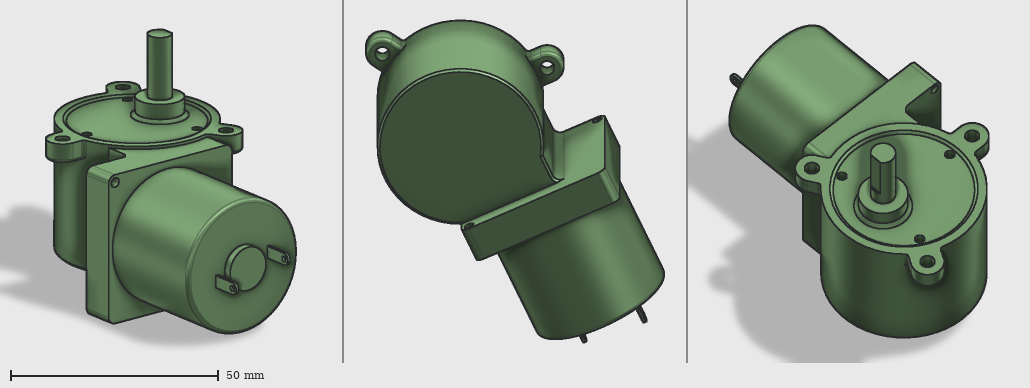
import cadquery as cq
import math

housing_radius = 20.0
housing_height = 33.4
housing_edge_chamfer = 0.6
recess_floor_radius = 17.05
recess_depth = 0.5
recess_rim_width = 0.8

lug_angles = (30, 150, 270)
lug_pitch_radius = 23.0
lug_radius = 4.0
lug_hole_diameter = 3.5
lug_thickness = 5.0
lug_edge_fillet = 1.0
lug_root_fillet = 1.0
screw_pitch_radius = 15.5
screw_hole_diameter = 2.4
screw_hole_depth = 3.5

shaft_y = 7.0
shaft_diameter = 6.0
shaft_top = 20.2
flat_distance = 2.5
flat_bottom = 8.0
boss_diameter = 12.0
boss_top = 4.2
boss_foot_flare = 1.05
boss_foot_height = 0.9

plate_front = 18.0
plate_back = 26.6
plate_size = 38.0
plate_right = 8.0
plate_top = -0.8
plate_corner_radius = 2.0
plate_hole_diameter = 2.4
plate_y = plate_right - plate_size / 2
plate_z = plate_top - plate_size / 2
bridge_side = -17.05
bridge_fillet = 2.0

motor_y = -11.8
motor_z = plate_z
motor_diameter = 34.0
motor_back = 55.5
motor_edge_fillet = 1.0
bearing_diameter = 11.0
bearing_length = 2.1
terminal_tip = 63.5
terminal_width = 3.1
terminal_thickness = 0.8
terminal_hole_diameter = 1.4
terminal_offset_y = 7.95
terminal_offset_z = 2.0
overlap = 0.9


def cylinder_z(diameter, bottom, top, x=0, y=0):
    return cq.Workplane("XY", origin=(x, y, bottom)).circle(diameter / 2).extrude(top - bottom)


def cylinder_x(diameter, start, end, y, z):
    return cq.Workplane("YZ", origin=(start, y, z)).circle(diameter / 2).extrude(end - start)


def polar(radius, angle):
    turn = math.radians(angle)
    return radius * math.cos(turn), radius * math.sin(turn)


def make_flange():
    """Disc with three lugs, blended into the disc and rounded underneath."""
    flange = cylinder_z(2 * housing_radius, -lug_thickness, 0)
    for angle in lug_angles:
        arm = (
            cq.Workplane("XY", origin=(0, 0, -lug_thickness))
            .center(lug_pitch_radius / 2, 0)
            .rect(lug_pitch_radius, 2 * lug_radius)
            .extrude(lug_thickness)
            .rotate((0, 0, 0), (0, 0, 1), angle)
        )
        x, y = polar(lug_pitch_radius, angle)
        flange = flange.union(arm).union(cylinder_z(2 * lug_radius, -lug_thickness, 0, x, y))

    root_distance = math.sqrt(housing_radius**2 - lug_radius**2)
    root_half_angle = math.degrees(math.atan2(lug_radius, root_distance))
    for angle in lug_angles:
        for side in (-1, 1):
            x, y = polar(housing_radius, angle + side * root_half_angle)
            root = cq.selectors.NearestToPointSelector((x, y, -lug_thickness / 2))
            flange = flange.edges("|Z").edges(root).fillet(lug_root_fillet)
    return flange.faces("<Z").edges().fillet(lug_edge_fillet)


def make_bridge_block():
    return (
        cq.Workplane("XY", origin=(0, 0, -housing_height))
        .moveTo(0, 0)
        .lineTo(0, bridge_side)
        .lineTo(plate_front - bridge_fillet, bridge_side)
        .radiusArc((plate_front, bridge_side - bridge_fillet), bridge_fillet)
        .lineTo(plate_back - overlap, bridge_side - bridge_fillet)
        .lineTo(plate_back - overlap, 0)
        .close()
        .extrude(housing_height + plate_top)
    )


def make_housing():
    """Drum and bridge block share one chamfered bottom edge; the lugs go on top."""
    return (
        cylinder_z(2 * housing_radius, -housing_height, 0)
        .union(make_bridge_block())
        .faces("<Z").edges().chamfer(housing_edge_chamfer)
        .union(make_flange())
    )


def make_plate():
    """Rounded square plate with holes in two opposite corners."""
    plate = (
        cq.Workplane("YZ", origin=(plate_front, plate_y, plate_z))
        .rect(plate_size, plate_size)
        .extrude(plate_back - plate_front)
        .edges("|X").fillet(plate_corner_radius)
    )
    hole_offset = plate_size / 2 - plate_corner_radius
    for side in (-1, 1):
        hole_y = plate_y + side * hole_offset
        hole_z = plate_z - side * hole_offset
        plate = plate.cut(cylinder_x(plate_hole_diameter, plate_front, plate_back, hole_y, hole_z))
    return plate


def cut_cover(body):
    """Sink the cover face, with a sloped rim, and drill lugs and cover."""
    recess = (
        cq.Workplane("XY", origin=(0, 0, -recess_depth))
        .circle(recess_floor_radius)
        .workplane(offset=recess_depth)
        .circle(recess_floor_radius + recess_rim_width)
        .loft(ruled=True)
    )
    body = body.cut(recess)
    for angle in lug_angles:
        x, y = polar(lug_pitch_radius, angle)
        body = body.cut(cylinder_z(lug_hole_diameter, -lug_thickness, 0, x, y))
        x, y = polar(screw_pitch_radius, angle)
        hole_bottom = -recess_depth - screw_hole_depth
        body = body.cut(cylinder_z(screw_hole_diameter, hole_bottom, 0, x, y))
    return body


def make_shaft():
    boss_radius = boss_diameter / 2
    foot_z = -recess_depth
    boss = (
        cq.Workplane("XZ")
        .moveTo(0, foot_z - overlap)
        .lineTo(boss_radius + boss_foot_flare, foot_z - overlap)
        .lineTo(boss_radius + boss_foot_flare, foot_z)
        .lineTo(boss_radius, foot_z + boss_foot_height)
        .lineTo(boss_radius, boss_top)
        .lineTo(0, boss_top)
        .close()
        .revolve(360, (0, 0, 0), (0, 1, 0))
        .translate((0, shaft_y, 0))
    )
    shaft = cylinder_z(shaft_diameter, 0, shaft_top, 0, shaft_y)
    flat_cut = cq.Workplane("XY").box(
        shaft_diameter, shaft_diameter, shaft_top - flat_bottom, centered=(True, False, False)
    ).translate((0, shaft_y + flat_distance, flat_bottom))
    return boss.union(shaft.cut(flat_cut))


def make_terminal(side):
    start = motor_back - overlap
    y = motor_y + side * terminal_offset_y
    z = motor_z + side * terminal_offset_z
    half_width = terminal_width / 2
    hole_x = terminal_tip - half_width
    return (
        cq.Workplane("XZ", origin=(0, y, z))
        .moveTo(start, -half_width)
        .lineTo(hole_x, -half_width)
        .threePointArc((terminal_tip, 0), (hole_x, half_width))
        .lineTo(start, half_width)
        .close()
        .moveTo(hole_x, 0)
        .circle(terminal_hole_diameter / 2)
        .extrude(terminal_thickness / 2, both=True)
    )


def make_motor():
    motor = (
        cylinder_x(motor_diameter, plate_back - overlap, motor_back, motor_y, motor_z)
        .faces(">X").edges().fillet(motor_edge_fillet)
    )
    bearing_end = motor_back + bearing_length
    motor = motor.union(
        cylinder_x(bearing_diameter, motor_back - overlap, bearing_end, motor_y, motor_z)
    )
    for side in (-1, 1):
        motor = motor.union(make_terminal(side))
    return motor


gearbox = cut_cover(make_housing().union(make_plate()))
result = gearbox.union(make_shaft()).union(make_motor())